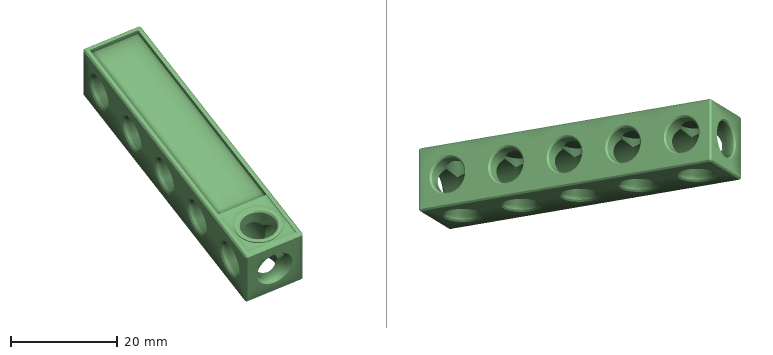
import cadquery as cq

PITCH = 12.5
CELLS = 5
LENGTH = CELLS * PITCH
EDGE_CHAMFER = 0.3

HOLE_DIAMETER = 7.0
HOLE_CHAMFER = 0.3

RIM_WIDTH = 1.0
SHALLOW_DEPTH = 0.25
DEEP_DEPTH = 1.0
RING_DIAMETER = 9.2

RECESS_FLOOR = 1.0

TOP = PITCH / 2
BOTTOM = -PITCH / 2
FIRST_X = -(LENGTH - PITCH) / 2
LAST_X = -FIRST_X
CELL_CENTRES = [FIRST_X + i * PITCH for i in range(CELLS)]
RECESS_START = -LENGTH / 2 + RIM_WIDTH
RECESS_END = LENGTH / 2 - RIM_WIDTH
OPEN_CELL_START = LAST_X - PITCH / 2


def cylinder(start, direction, length, diameter):
    """Solid cylinder starting at a point and running along a direction."""
    solid = cq.Solid.makeCylinder(diameter / 2, length, cq.Vector(*start), cq.Vector(*direction))
    return cq.Workplane(solid)


def mouth(start, direction):
    """Cone that chamfers a hole where it enters a face."""
    radius = HOLE_DIAMETER / 2
    solid = cq.Solid.makeCone(
        radius + HOLE_CHAMFER, radius, HOLE_CHAMFER, cq.Vector(*start), cq.Vector(*direction)
    )
    return cq.Workplane(solid)


def blind_hole(start, direction, depth):
    """Hole with a chamfer at its entry."""
    return cylinder(start, direction, depth, HOLE_DIAMETER).union(mouth(start, direction))


def through_hole(start, direction, length):
    """Hole from face to face with a chamfer at both ends."""
    end = cq.Vector(*start) + cq.Vector(*direction) * length
    backward = cq.Vector(*direction) * -1
    return blind_hole(start, direction, length).union(mouth(end.toTuple(), backward.toTuple()))


def top_recess(x_start, x_end, depth):
    """Rectangular recess in the top face, inside the side rims."""
    width = PITCH - 2 * RIM_WIDTH
    block = cq.Workplane("XY").box(x_end - x_start, width, depth, centered=(False, True, False))
    return block.translate((x_start, 0, TOP - depth))


body = cq.Workplane("XY").box(LENGTH, PITCH, PITCH).edges().chamfer(EDGE_CHAMFER)

body = body.cut(top_recess(RECESS_START, OPEN_CELL_START, DEEP_DEPTH))

ring = cylinder((LAST_X, 0, TOP), (0, 0, -1), SHALLOW_DEPTH, RING_DIAMETER)
body = body.cut(top_recess(OPEN_CELL_START, RECESS_END, SHALLOW_DEPTH).cut(ring))

body = body.cut(through_hole((-LENGTH / 2, 0, 0), (1, 0, 0), LENGTH))

for x in CELL_CENTRES:
    body = body.cut(through_hole((x, -PITCH / 2, 0), (0, 1, 0), PITCH))

blind_depth = PITCH - DEEP_DEPTH - RECESS_FLOOR
for x in CELL_CENTRES[:-1]:
    body = body.cut(blind_hole((x, 0, BOTTOM), (0, 0, 1), blind_depth))
body = body.cut(through_hole((LAST_X, 0, BOTTOM), (0, 0, 1), PITCH))

result = body